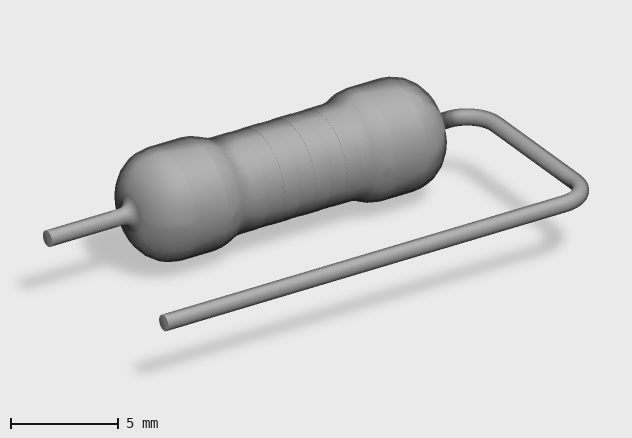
import cadquery as cq
import math


cap_radius = 5.5 / 2
band_radius = 4.7 / 2
waist_radius = 4.67 / 2
waist_length = 6.03
waist_strips = 7
shoulder_length = 1.6
cap_straight_length = 1.75
dome_radius = 1.9
neck_radius = 0.55

lead_radius = 0.8 / 2
lead_spacing = 10.0
bend_radius = 1.6
lead_end_y = -12.85
crossbar_y = 10.85

strip_length = waist_length / waist_strips
shoulder_start = waist_length / 2
shoulder_end = shoulder_start + shoulder_length
dome_start = shoulder_end + cap_straight_length

dome_centre_r = cap_radius - dome_radius
neck_centre_r = lead_radius + neck_radius
centre_distance = dome_radius + neck_radius
centre_offset_r = neck_centre_r - dome_centre_r
neck_end = dome_start + math.sqrt(centre_distance**2 - centre_offset_r**2)


def circle_point(centre_r, centre_y, radius, angle):
    """Point on a profile arc; the angle is measured from the radial direction."""
    return (centre_r + radius * math.cos(angle), centre_y + radius * math.sin(angle))


def make_waist():
    """Cylinders of alternating radius: raised bands and the bare waist between them."""
    waist = cq.Workplane("XZ", origin=(0, shoulder_start, 0)).circle(waist_radius).extrude(waist_length)
    for strip in range(0, waist_strips, 2):
        band_top = shoulder_start - strip * strip_length
        band = cq.Workplane("XZ", origin=(0, band_top, 0)).circle(band_radius).extrude(strip_length)
        waist = waist.union(band)
    return waist


def make_cap():
    """Revolved +Y end of the body: shoulder, straight cap, dome and neck."""
    half_rise = (cap_radius - band_radius) / 2
    half_length = shoulder_length / 2
    shoulder_radius = (half_rise**2 + half_length**2) / (2 * half_rise)
    half_sweep = math.asin(half_length / shoulder_radius) / 2
    shoulder_middle = (band_radius + half_rise, shoulder_start + half_length)
    concave_middle = circle_point(
        band_radius + shoulder_radius, shoulder_start, shoulder_radius, math.pi - half_sweep
    )
    convex_middle = circle_point(
        cap_radius - shoulder_radius, shoulder_end, shoulder_radius, -half_sweep
    )

    touch_angle = math.acos(centre_offset_r / centre_distance)
    touch_point = circle_point(dome_centre_r, dome_start, dome_radius, touch_angle)
    dome_middle = circle_point(dome_centre_r, dome_start, dome_radius, touch_angle / 2)
    neck_middle = circle_point(neck_centre_r, neck_end, neck_radius, math.pi + touch_angle / 2)

    profile = (
        cq.Workplane("XY")
        .moveTo(0, shoulder_start)
        .lineTo(band_radius, shoulder_start)
        .threePointArc(concave_middle, shoulder_middle)
        .threePointArc(convex_middle, (cap_radius, shoulder_end))
        .lineTo(cap_radius, dome_start)
        .threePointArc(dome_middle, touch_point)
        .threePointArc(neck_middle, (lead_radius, neck_end))
        .lineTo(0, neck_end)
        .close()
    )
    return profile.revolve(360, (0, 0, 0), (0, 1, 0))


def make_short_lead():
    """Straight lead leaving the -Y end of the body."""
    lead_length = -lead_end_y - neck_end
    return cq.Workplane("XZ", origin=(0, -neck_end, 0)).circle(lead_radius).extrude(lead_length)


def make_bent_lead():
    """Lead leaving the +Y end, bent across to +X and back down beside the body."""
    bend_start = crossbar_y - bend_radius
    path = (
        cq.Workplane("XY")
        .moveTo(0, neck_end)
        .lineTo(0, bend_start)
        .radiusArc((bend_radius, crossbar_y), bend_radius)
        .lineTo(lead_spacing - bend_radius, crossbar_y)
        .radiusArc((lead_spacing, bend_start), bend_radius)
        .lineTo(lead_spacing, lead_end_y)
    )
    return cq.Workplane("XZ", origin=(0, neck_end, 0)).circle(lead_radius).sweep(path)


cap = make_cap()
result = (
    make_waist()
    .union(cap)
    .union(cap.mirror("XZ"))
    .union(make_short_lead())
    .union(make_bent_lead())
)